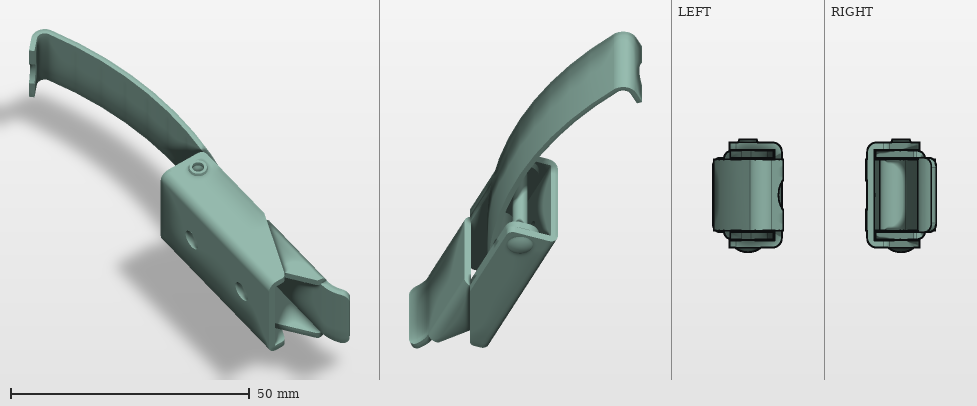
import cadquery as cq
import math


BASE_LENGTH = 38.2
BASE_WIDTH = 22.1
BASE_DEPTH = 11.0
BASE_THICKNESS = 1.6
BASE_BEND_RADIUS = 2.05
WALL_SLOPE_START = 21.6
WALL_END_DEPTH = 4.3
WALL_CORNER_RADIUS = 1.4
MOUNT_HOLE_XS = [10.9, 28.5]
MOUNT_HOLE_DIAMETER = 4.4

PIVOT_X = 3.5
PIVOT_Y = 7.1
PIN_RADIUS = 1.6
DOME_RADIUS = 2.7
DOME_HEIGHT = 1
RIVET_HEAD_RADIUS = 2.05
RIVET_HEAD_TOP_RADIUS = 1.9
RIVET_HEAD_HEIGHT = 0.6
RIVET_RECESS_RADIUS = 1.3
RIVET_RECESS_DEPTH = 1
RIVET_RECESS_TIP_DEPTH = 0.5

LEVER_WIDTH = 18.6
LEVER_THICKNESS = 1.6
LEVER_BEND_RADIUS = 1.9
PLATE_START_X = 22.0
PLATE_END_X = 42
PLATE_TOP_Y = 12.2
EAR_LOBE_RADIUS = 3.4
EAR_LOBE_Y = 6.5
EAR_TOP_Y = 10.8
EAR_CORNER_RADIUS = 2.3
EAR_LOW_POINT = (30.7, 1.8)
EAR_END_Y = 10.0
EAR_END_RADIUS = 0.8
TAB_INNER_RADIUS = 6.7
TAB_BEND_ANGLE = 49
TAB_CORNER_RADIUS = 2

STRAP_WIDTH = 14.9
STRAP_THICKNESS = 1.2
STRAP_RADIUS = 84.9
STRAP_CREST_X = -12.7
STRAP_CREST_Y = 14.3
HOOK_RADIUS = 2.8
HOOK_X = -46.55
HOOK_TIP_ANGLE = 45
HOOK_TIP_LENGTH = 3.5
NOTCH_RADIUS = 4.0
NOTCH_DEPTH = 1.5
STRAP_PIN_X = 18.5

HALF_BASE = BASE_WIDTH / 2
LEVER_INNER_WIDTH = LEVER_WIDTH - 2 * LEVER_THICKNESS
STRAP_CENTRE_Y = STRAP_CREST_Y - STRAP_RADIUS
EYE_RADIUS = PIN_RADIUS + STRAP_THICKNESS


def strap_point(radius, x):
    """Point at the given X on an arc concentric with the strap."""
    return x, STRAP_CENTRE_Y + math.sqrt(radius**2 - (x - STRAP_CREST_X) ** 2)


def point_at(centre, radius, degrees):
    """Point on a circle at an angle measured from +X."""
    angle = math.radians(degrees)
    return centre[0] + radius * math.cos(angle), centre[1] + radius * math.sin(angle)


HOOK_CENTRE = strap_point(STRAP_RADIUS - HOOK_RADIUS, HOOK_X)
STRAP_PIN_CENTRE = strap_point(STRAP_RADIUS - EYE_RADIUS, STRAP_PIN_X)


def cylinder(centre, radius, length):
    """Cylinder along Z, centred on Z = 0."""
    return cq.Workplane("XY").center(*centre).circle(radius).extrude(length / 2, both=True)


def channel_section(start_x, end_x, floor_y, width, depth, thickness, bend_radius, floor_below):
    """U channel along X with its floor's outer face at floor_y and its walls above or below it."""
    length = end_x - start_x
    direction = 1 if floor_below else -1
    middle_y = floor_y + direction * depth / 2
    bend_edges = "<Y and |X" if floor_below else ">Y and |X"
    outer = cq.Workplane("XY").box(length, depth, width).edges(bend_edges).fillet(bend_radius)
    inner = (
        cq.Workplane("XY")
        .box(length, depth, width - 2 * thickness)
        .translate((0, direction * thickness, 0))
    )
    return outer.cut(inner).translate((start_x + length / 2, middle_y, 0))


def make_base():
    """Channel with sloped walls, two mounting holes in its floor and a hole across for the pivot pin."""
    channel = channel_section(
        0, BASE_LENGTH, 0, BASE_WIDTH, BASE_DEPTH, BASE_THICKNESS, BASE_BEND_RADIUS, True
    )
    side = (
        cq.Workplane("XY")
        .polyline([
            (0, 0),
            (BASE_LENGTH, 0),
            (BASE_LENGTH, WALL_END_DEPTH),
            (WALL_SLOPE_START, BASE_DEPTH),
            (0, BASE_DEPTH),
        ])
        .close()
        .extrude(HALF_BASE, both=True)
    )
    for corner in [(0, BASE_DEPTH, 0), (BASE_LENGTH, WALL_END_DEPTH, 0)]:
        side = side.edges("|Z").edges(cq.selectors.NearestToPointSelector(corner)).fillet(WALL_CORNER_RADIUS)
    base = channel.intersect(side)
    for x in MOUNT_HOLE_XS:
        hole = cq.Workplane("XZ").center(x, 0).circle(MOUNT_HOLE_DIAMETER / 2).extrude(-2 * BASE_THICKNESS)
        base = base.cut(hole)
    return base.cut(cylinder((PIVOT_X, PIVOT_Y), PIN_RADIUS, BASE_WIDTH))


def make_tab():
    """Finger tab that continues the plate and curves upward, with rounded end corners."""
    centre = (PLATE_END_X, PLATE_TOP_Y + TAB_INNER_RADIUS)
    outer_radius = TAB_INNER_RADIUS + LEVER_THICKNESS
    end_angle = -90 + TAB_BEND_ANGLE
    middle_angle = -90 + TAB_BEND_ANGLE / 2
    tab = (
        cq.Workplane("XY")
        .moveTo(*point_at(centre, TAB_INNER_RADIUS, -90))
        .threePointArc(
            point_at(centre, TAB_INNER_RADIUS, middle_angle), point_at(centre, TAB_INNER_RADIUS, end_angle)
        )
        .lineTo(*point_at(centre, outer_radius, end_angle))
        .threePointArc(point_at(centre, outer_radius, middle_angle), point_at(centre, outer_radius, -90))
        .close()
        .extrude(LEVER_INNER_WIDTH / 2, both=True)
    )
    end_face = cq.selectors.DirectionMinMaxSelector(
        cq.Vector(*point_at((0, 0), 1, TAB_BEND_ANGLE), 0), True
    )
    return tab.faces(end_face).edges("not |Z").fillet(TAB_CORNER_RADIUS)


def make_plate_and_ears():
    """Plate with two side ears, each with a round lobe around the pivot pin and a rounded upper corner."""
    lobe = (PIVOT_X, EAR_LOBE_Y)
    left_x = PIVOT_X - EAR_LOBE_RADIUS
    corner = (left_x + EAR_CORNER_RADIUS, EAR_TOP_Y - EAR_CORNER_RADIUS)
    run = EAR_LOW_POINT[0] - PIVOT_X
    drop = EAR_LOW_POINT[1] - EAR_LOBE_Y
    tangent_angle = math.degrees(math.atan2(drop, run) - math.acos(EAR_LOBE_RADIUS / math.hypot(run, drop)))
    side = (
        cq.Workplane("XY")
        .moveTo(*point_at(corner, EAR_CORNER_RADIUS, 90))
        .threePointArc(point_at(corner, EAR_CORNER_RADIUS, 135), point_at(corner, EAR_CORNER_RADIUS, 180))
        .lineTo(left_x, EAR_LOBE_Y)
        .threePointArc(
            point_at(lobe, EAR_LOBE_RADIUS, (tangent_angle - 180) / 2),
            point_at(lobe, EAR_LOBE_RADIUS, tangent_angle),
        )
        .lineTo(*EAR_LOW_POINT)
        .lineTo(PLATE_END_X, EAR_END_Y)
        .lineTo(PLATE_END_X, PLATE_TOP_Y)
        .lineTo(PLATE_START_X, PLATE_TOP_Y)
        .lineTo(PLATE_START_X, EAR_TOP_Y)
        .close()
        .extrude(LEVER_WIDTH / 2, both=True)
    )
    ear_end = cq.selectors.NearestToPointSelector((PLATE_END_X, EAR_END_Y, 0))
    side = side.edges("|Z").edges(ear_end).fillet(EAR_END_RADIUS)
    channel = channel_section(
        left_x, PLATE_END_X, PLATE_TOP_Y, LEVER_WIDTH, PLATE_TOP_Y, LEVER_THICKNESS, LEVER_BEND_RADIUS, False
    )
    plate_gap = (
        cq.Workplane("XY")
        .box(PLATE_START_X - left_x, PLATE_TOP_Y, LEVER_INNER_WIDTH)
        .translate(((PLATE_START_X + left_x) / 2, PLATE_TOP_Y / 2, 0))
    )
    return channel.intersect(side).cut(plate_gap)


def make_lever():
    """Plate, ears and tab in one piece, with holes across the ears for both pins."""
    lever = make_plate_and_ears().union(make_tab())
    for centre in [(PIVOT_X, PIVOT_Y), STRAP_PIN_CENTRE]:
        lever = lever.cut(cylinder(centre, PIN_RADIUS, LEVER_WIDTH))
    return lever


def make_strap():
    """Arched band with a notched hook at one end and a round eye at the other."""
    arc_centre = (STRAP_CREST_X, STRAP_CENTRE_Y)
    inner_radius = STRAP_RADIUS - STRAP_THICKNESS
    hook_inner_radius = HOOK_RADIUS - STRAP_THICKNESS
    hook_join = math.degrees(math.atan2(HOOK_CENTRE[1] - STRAP_CENTRE_Y, HOOK_X - STRAP_CREST_X))
    eye_join = math.degrees(
        math.atan2(STRAP_PIN_CENTRE[1] - STRAP_CENTRE_Y, STRAP_PIN_X - STRAP_CREST_X)
    )
    tip_start = 180 + HOOK_TIP_ANGLE
    hook_middle = (hook_join + tip_start) / 2
    tip_direction = tip_start + 90
    outer_tip = point_at(point_at(HOOK_CENTRE, HOOK_RADIUS, tip_start), HOOK_TIP_LENGTH, tip_direction)
    inner_tip = point_at(point_at(HOOK_CENTRE, hook_inner_radius, tip_start), HOOK_TIP_LENGTH, tip_direction)
    band = (
        cq.Workplane("XY")
        .moveTo(*point_at(arc_centre, STRAP_RADIUS, eye_join))
        .threePointArc(
            point_at(arc_centre, STRAP_RADIUS, 90), point_at(arc_centre, STRAP_RADIUS, hook_join)
        )
        .threePointArc(
            point_at(HOOK_CENTRE, HOOK_RADIUS, hook_middle), point_at(HOOK_CENTRE, HOOK_RADIUS, tip_start)
        )
        .lineTo(*outer_tip)
        .lineTo(*inner_tip)
        .lineTo(*point_at(HOOK_CENTRE, hook_inner_radius, tip_start))
        .threePointArc(
            point_at(HOOK_CENTRE, hook_inner_radius, hook_middle),
            point_at(HOOK_CENTRE, hook_inner_radius, hook_join),
        )
        .threePointArc(
            point_at(arc_centre, inner_radius, 90), point_at(arc_centre, inner_radius, eye_join)
        )
        .close()
        .extrude(STRAP_WIDTH / 2, both=True)
    )
    strap = band.union(cylinder(STRAP_PIN_CENTRE, EYE_RADIUS, STRAP_WIDTH))
    strap = strap.cut(cylinder(STRAP_PIN_CENTRE, PIN_RADIUS, STRAP_WIDTH))

    notch_centre = point_at(outer_tip, NOTCH_RADIUS - NOTCH_DEPTH, tip_direction)
    notch_plane = cq.Plane(
        origin=(*notch_centre, 0), xDir=(0, 0, 1), normal=(*point_at((0, 0), 1, tip_start), 0)
    )
    notch = cq.Workplane(notch_plane).circle(NOTCH_RADIUS).extrude(STRAP_THICKNESS, both=True)
    return strap.cut(notch)


def dome_middle():
    """Point halfway along the dome's arc, in the pin's own X-Z plane."""
    sphere_radius = (DOME_RADIUS**2 + DOME_HEIGHT**2) / (2 * DOME_HEIGHT)
    sphere_centre = (0, -HALF_BASE - DOME_HEIGHT + sphere_radius)
    half_span = math.degrees(math.asin(DOME_RADIUS / sphere_radius))
    return point_at(sphere_centre, sphere_radius, -90 + half_span / 2)


def make_pivot_pin():
    """Pin with a domed head at -Z and a riveted head at +Z that has a drilled recess."""
    head_top = HALF_BASE + RIVET_HEAD_HEIGHT
    profile = (
        cq.Workplane("XZ")
        .moveTo(0, -HALF_BASE - DOME_HEIGHT)
        .threePointArc(dome_middle(), (DOME_RADIUS, -HALF_BASE))
        .lineTo(PIN_RADIUS, -HALF_BASE)
        .lineTo(PIN_RADIUS, HALF_BASE)
        .lineTo(RIVET_HEAD_RADIUS, HALF_BASE)
        .lineTo(RIVET_HEAD_TOP_RADIUS, head_top)
        .lineTo(RIVET_RECESS_RADIUS, head_top)
        .lineTo(RIVET_RECESS_RADIUS, head_top - RIVET_RECESS_DEPTH)
        .lineTo(0, head_top - RIVET_RECESS_DEPTH - RIVET_RECESS_TIP_DEPTH)
        .close()
    )
    return profile.revolve(360, (0, 0, 0), (0, 1, 0)).translate((PIVOT_X, PIVOT_Y, 0))


def make_strap_pin():
    """Plain pin, flush with the ears, that carries the strap's eye."""
    return cylinder(STRAP_PIN_CENTRE, PIN_RADIUS, LEVER_WIDTH)


base = make_base()
lever = make_lever()
strap = make_strap()
pivot_pin = make_pivot_pin()
strap_pin = make_strap_pin()

result = cq.Compound.makeCompound(
    [base.val(), lever.val(), strap.val(), pivot_pin.val(), strap_pin.val()]
)